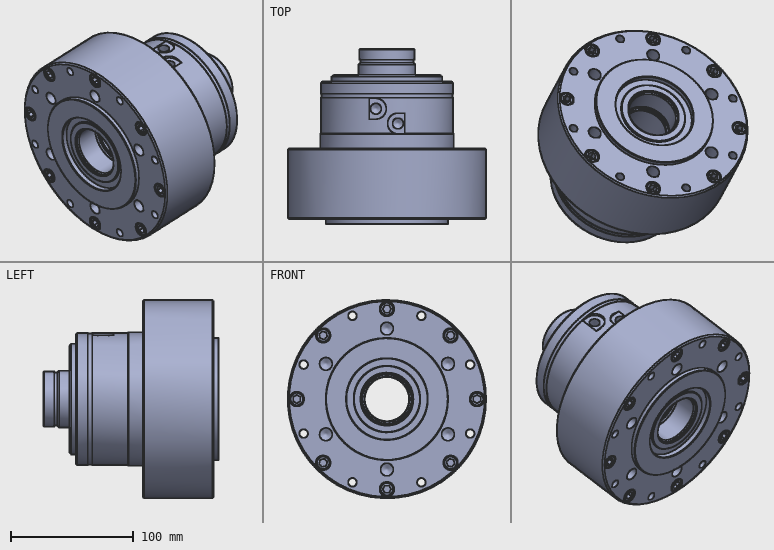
import cadquery as cq
import math

NOSE_RADIUS = 50.0
NOSE_LENGTH = 4.0
NOSE_CHAMFER = 0.5

FLANGE_RADIUS = 81.0
FLANGE_REAR = 62.0
FLANGE_CHAMFER = 1.3

COLLAR_RADIUS = 54.6
COLLAR_REAR = 73.5
BODY_RADIUS = 54.0
COLLAR_TAPER = 0.8

GROOVE_FRONT = 103.2
GROOVE_REAR = 106.6
GROOVE_RADIUS = 53.6
RING_REAR = 116.6
RING_CHAMFER = 1.4

COVER_RADIUS = 45.3
COVER_REAR = 121.8
COVER_CHAMFER_LENGTH = 1.6
COVER_CHAMFER_WIDTH = 2.1

SPIGOT_RADIUS = 23.25
SPIGOT_REAR = 130.2
NECK_RADIUS = 21.7
NECK_FRONT = SPIGOT_REAR + (SPIGOT_RADIUS - NECK_RADIUS)
TAIL_FRONT = 134.2
TAIL_RADIUS = 22.7
TAIL_CHAMFER = 0.8
OVERALL_LENGTH = 143.0

RECESS_RADIUS = 33.0
RECESS_DEPTH = 4.8
RECESS_CHAMFER = 0.5
SLEEVE_RADIUS = 27.3
SLEEVE_FRONT = 3.3
SLEEVE_CHAMFER = 0.5
MOUTH_RADIUS = 21.1
MOUTH_CHAMFER = 0.6
MOUTH_LENGTH = 1.7
FRONT_BORE_RADIUS = 20.0
FRONT_BORE_REAR = 25.2
RELIEF_RADIUS = 20.2
RELIEF_LENGTH = 2.4
BORE_RADIUS = 18.0
BORE_CHAMFER = 0.5

BOLT_CIRCLE_RADIUS = 73.5
SCREW_COUNT = 8
COUNTERBORE_RADIUS = 6.0
COUNTERBORE_DEPTH = 6.0
HEAD_RADIUS = 5.5
HEAD_RECESS = 0.5
HEAD_CHAMFER = 0.5
SOCKET_SIDES = 6
SOCKET_FLATS = 6.0
SOCKET_DEPTH = 6.0
THROUGH_HOLE_RADIUS = 3.4

TAPPED_CIRCLE_RADIUS = 57.5
TAPPED_COUNT = 6
TAPPED_RADIUS = 5.2
TAPPED_DEPTH = 25.0
DRILL_POINT_ANGLE = 118.0

PORT_OFFSET_X = 9.0
REAR_PORT_Y = 94.2
FRONT_PORT_Y = 82.2
PORT_POCKET_RADIUS = 8.45
PORT_FLOOR_Z = 52.0
PORT_RADIUS = 4.4
PORT_DEPTH = 12.0


def revolve_profile(points):
    """Turn (radius, y) points about the Y axis."""
    return cq.Workplane("XY").polyline(points).close().revolve(360, (0, 0, 0), (0, 1, 0))


def drill_tip(radius):
    """Length of the conical tip of a drilled hole."""
    return radius / math.tan(math.radians(DRILL_POINT_ANGLE / 2))


def make_body():
    """Solid turned body: nose, flange, collar, grooved housing, cover and necked spigot."""
    flange_front = NOSE_LENGTH
    return revolve_profile([
        (0, 0),
        (NOSE_RADIUS - NOSE_CHAMFER, 0),
        (NOSE_RADIUS, NOSE_CHAMFER),
        (NOSE_RADIUS, flange_front),
        (FLANGE_RADIUS - FLANGE_CHAMFER, flange_front),
        (FLANGE_RADIUS, flange_front + FLANGE_CHAMFER),
        (FLANGE_RADIUS, FLANGE_REAR - FLANGE_CHAMFER),
        (FLANGE_RADIUS - FLANGE_CHAMFER, FLANGE_REAR),
        (COLLAR_RADIUS, FLANGE_REAR),
        (COLLAR_RADIUS, COLLAR_REAR),
        (BODY_RADIUS, COLLAR_REAR + COLLAR_TAPER),
        (BODY_RADIUS, GROOVE_FRONT),
        (GROOVE_RADIUS, GROOVE_FRONT),
        (GROOVE_RADIUS, GROOVE_REAR),
        (BODY_RADIUS, GROOVE_REAR),
        (BODY_RADIUS, RING_REAR - RING_CHAMFER),
        (BODY_RADIUS - RING_CHAMFER, RING_REAR),
        (COVER_RADIUS, RING_REAR),
        (COVER_RADIUS, COVER_REAR - COVER_CHAMFER_LENGTH),
        (COVER_RADIUS - COVER_CHAMFER_WIDTH, COVER_REAR),
        (SPIGOT_RADIUS, COVER_REAR),
        (SPIGOT_RADIUS, SPIGOT_REAR),
        (NECK_RADIUS, NECK_FRONT),
        (NECK_RADIUS, TAIL_FRONT),
        (TAIL_RADIUS, TAIL_FRONT),
        (TAIL_RADIUS, OVERALL_LENGTH - TAIL_CHAMFER),
        (TAIL_RADIUS - TAIL_CHAMFER, OVERALL_LENGTH),
        (0, OVERALL_LENGTH),
    ])


def make_central_opening():
    """Front recess around a raised sleeve, and the stepped bore through the part."""
    mouth_rear = SLEEVE_FRONT + MOUTH_LENGTH
    relief_rear = FRONT_BORE_REAR + RELIEF_LENGTH
    return revolve_profile([
        (0, 0),
        (RECESS_RADIUS + RECESS_CHAMFER, 0),
        (RECESS_RADIUS, RECESS_CHAMFER),
        (RECESS_RADIUS, RECESS_DEPTH),
        (SLEEVE_RADIUS, RECESS_DEPTH),
        (SLEEVE_RADIUS, SLEEVE_FRONT + SLEEVE_CHAMFER),
        (SLEEVE_RADIUS - SLEEVE_CHAMFER, SLEEVE_FRONT),
        (MOUTH_RADIUS + MOUTH_CHAMFER, SLEEVE_FRONT),
        (MOUTH_RADIUS, SLEEVE_FRONT + MOUTH_CHAMFER),
        (MOUTH_RADIUS, mouth_rear),
        (FRONT_BORE_RADIUS, mouth_rear + MOUTH_RADIUS - FRONT_BORE_RADIUS),
        (FRONT_BORE_RADIUS, FRONT_BORE_REAR),
        (RELIEF_RADIUS, FRONT_BORE_REAR),
        (RELIEF_RADIUS, relief_rear),
        (BORE_RADIUS + BORE_CHAMFER, relief_rear),
        (BORE_RADIUS, relief_rear + BORE_CHAMFER),
        (BORE_RADIUS, OVERALL_LENGTH),
        (0, OVERALL_LENGTH),
    ])


def spread_around_axis(tool, circle_radius, count, first_angle):
    """Copies of a tool built on the Y axis, moved out along +X and spaced evenly about Y."""
    tools = cq.Workplane("XY")
    placed = tool.translate((circle_radius, 0, 0))
    for index in range(count):
        angle = first_angle + index * 360.0 / count
        tools = tools.add(placed.rotate((0, 0, 0), (0, 1, 0), angle))
    return tools.combine()


def make_screw_cavity():
    """Space left around and inside one socket head screw seated in its counterbore."""
    head_front = NOSE_LENGTH + HEAD_RECESS
    floor = NOSE_LENGTH + COUNTERBORE_DEPTH
    clearance = revolve_profile([
        (0, NOSE_LENGTH),
        (COUNTERBORE_RADIUS, NOSE_LENGTH),
        (COUNTERBORE_RADIUS, floor),
        (HEAD_RADIUS, floor),
        (HEAD_RADIUS, head_front + HEAD_CHAMFER),
        (HEAD_RADIUS - HEAD_CHAMFER, head_front),
        (0, head_front),
    ])
    socket = (
        cq.Workplane("XZ", origin=(0, head_front, 0))
        .polygon(SOCKET_SIDES, SOCKET_FLATS, circumscribed=True)
        .extrude(-SOCKET_DEPTH)
    )
    return clearance.union(socket)


def make_through_hole():
    """Plain hole along the whole length, clear of everything behind the flange."""
    return revolve_profile([
        (0, 0),
        (THROUGH_HOLE_RADIUS, 0),
        (THROUGH_HOLE_RADIUS, OVERALL_LENGTH),
        (0, OVERALL_LENGTH),
    ])


def make_tapped_hole():
    """Blind hole with a conical drill point."""
    floor = NOSE_LENGTH + TAPPED_DEPTH
    return revolve_profile([
        (0, NOSE_LENGTH),
        (TAPPED_RADIUS, NOSE_LENGTH),
        (TAPPED_RADIUS, floor),
        (0, floor + drill_tip(TAPPED_RADIUS)),
    ])


def make_port(side, port_y):
    """Round-ended pocket running out sideways, with a drilled port; side is -1 or +1 along X."""
    port_x = side * PORT_OFFSET_X
    pocket_height = BODY_RADIUS - PORT_FLOOR_Z
    floor_plane = cq.Workplane("XY", origin=(port_x, port_y, PORT_FLOOR_Z))
    round_end = floor_plane.circle(PORT_POCKET_RADIUS).extrude(pocket_height)
    run_out = (
        floor_plane.center(side * PORT_POCKET_RADIUS / 2, 0)
        .rect(PORT_POCKET_RADIUS, 2 * PORT_POCKET_RADIUS)
        .extrude(pocket_height)
    )
    port = floor_plane.circle(PORT_RADIUS).extrude(-PORT_DEPTH)
    tip = cq.Workplane(cq.Solid.makeCone(
        PORT_RADIUS,
        0,
        drill_tip(PORT_RADIUS),
        pnt=cq.Vector(port_x, port_y, PORT_FLOOR_Z - PORT_DEPTH),
        dir=cq.Vector(0, 0, -1),
    ))
    return round_end.union(run_out).union(port).union(tip)


screw_pitch = 360.0 / SCREW_COUNT
screws = spread_around_axis(make_screw_cavity(), BOLT_CIRCLE_RADIUS, SCREW_COUNT, 0)
through_holes = spread_around_axis(
    make_through_hole(), BOLT_CIRCLE_RADIUS, SCREW_COUNT, screw_pitch / 2
)
tapped_holes = spread_around_axis(make_tapped_hole(), TAPPED_CIRCLE_RADIUS, TAPPED_COUNT, 90)

result = (
    make_body()
    .cut(make_central_opening())
    .cut(screws)
    .cut(through_holes)
    .cut(tapped_holes)
    .cut(make_port(-1, REAR_PORT_Y))
    .cut(make_port(1, FRONT_PORT_Y))
)